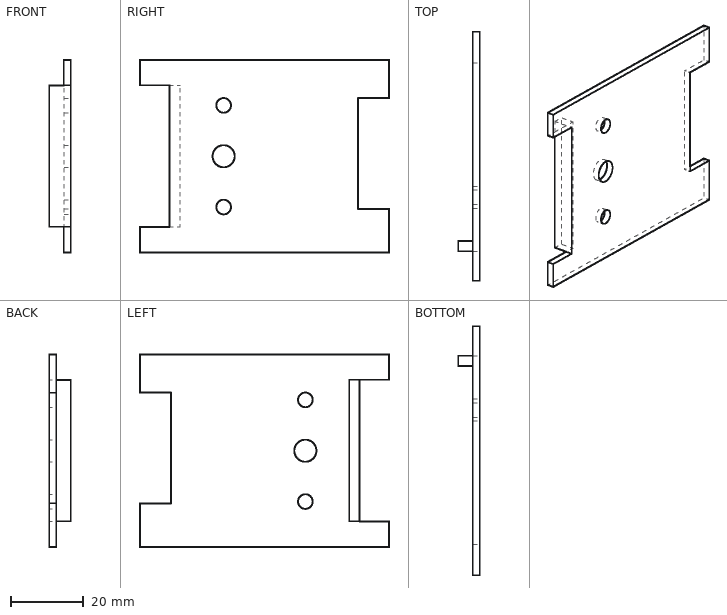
import cadquery as cq

length = 68.5
height = 53.0
thickness = 2.0

front_notch_depth = 8.1
front_notch_height = 38.9

rear_notch_depth = 8.5
rear_notch_height = 30.4
rear_notch_bottom = 12.05

rib_width = 2.9
rib_projection = 4.05

hole_y = -11.2
center_hole_diameter = 6.0
side_hole_diameter = 4.0
side_hole_offset = 14.0

front_notch_floor = -length / 2 + front_notch_depth
rear_notch_floor = length / 2 - rear_notch_depth


def block(x_range, y_range, z_range):
    """Box spanning the given (low, high) range on each axis."""
    ranges = (x_range, y_range, z_range)
    sizes = [high - low for low, high in ranges]
    corner = tuple(low for low, high in ranges)
    return cq.Workplane("XY").box(*sizes, centered=False).translate(corner)


def through_hole(z, diameter):
    """Cylinder crossing the plate along X."""
    return (
        cq.Workplane("YZ", origin=(-thickness, hole_y, z))
        .circle(diameter / 2)
        .extrude(thickness)
    )


plate_x = (-thickness, 0)
front_notch_z = (-front_notch_height / 2, front_notch_height / 2)
rear_notch_low = -height / 2 + rear_notch_bottom
rear_notch_z = (rear_notch_low, rear_notch_low + rear_notch_height)

plate = block(plate_x, (-length / 2, length / 2), (-height / 2, height / 2))
front_notch = block(plate_x, (-length / 2, front_notch_floor), front_notch_z)
rear_notch = block(plate_x, (rear_notch_floor, length / 2), rear_notch_z)
rib = block(
    (-thickness - rib_projection, -thickness),
    (front_notch_floor, front_notch_floor + rib_width),
    front_notch_z,
)

result = plate.cut(front_notch).cut(rear_notch).union(rib)

result = result.cut(through_hole(0, center_hole_diameter))
for z in (-side_hole_offset, side_hole_offset):
    result = result.cut(through_hole(z, side_hole_diameter))